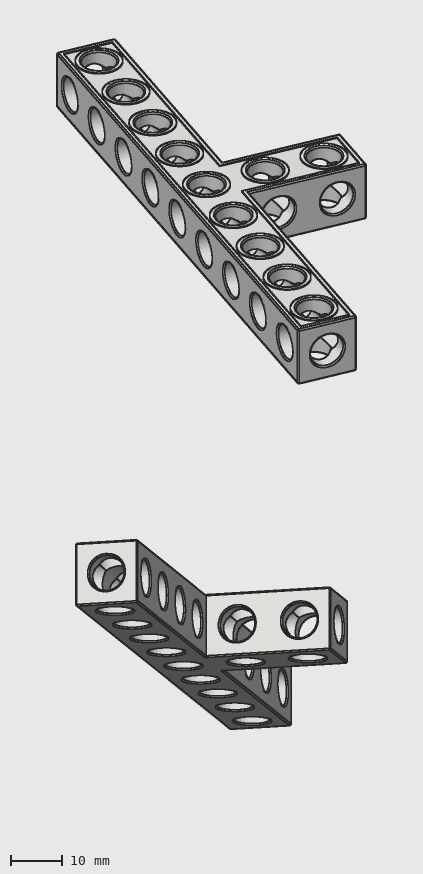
import cadquery as cq

LENGTH = 112.5
BAR_CELLS = 9
STEM_CELLS = 2
CELL = LENGTH / BAR_CELLS
HALF_CELL = CELL / 2
STEM_REACH = STEM_CELLS * CELL
STEM_END = HALF_CELL + STEM_REACH

HOLE_DIAMETER = 7.0
BEVEL = 0.3

BORDER_WIDTH = 1.1
RING_DIAMETER = 9.2
RECESS_DEPTH = 0.2

BAR_X = [(i - (BAR_CELLS - 1) / 2) * CELL for i in range(BAR_CELLS)]
STEM_Y = [(i + 1) * CELL for i in range(STEM_CELLS)]
VERTICAL_HOLES = [(x, 0) for x in BAR_X] + [(0, y) for y in STEM_Y]


def beveled_body():
    """Bar and stem with beveled outer edges; the stem starts inside the bar."""
    bar = cq.Workplane("XY").box(LENGTH, CELL, CELL).edges().chamfer(BEVEL)
    stem = (
        cq.Workplane("XY")
        .box(CELL, STEM_END, CELL, centered=(True, False, True))
        .edges("|Y or >Y")
        .chamfer(BEVEL)
    )
    return bar.union(stem)


def top_recess():
    """T-shaped cutter inside the border, with the rings around the holes left out."""
    floor = cq.Workplane("XY", origin=(0, 0, HALF_CELL - RECESS_DEPTH))
    width = CELL - 2 * BORDER_WIDTH
    stem_length = STEM_END - BORDER_WIDTH
    bar = floor.rect(LENGTH - 2 * BORDER_WIDTH, width).extrude(RECESS_DEPTH)
    stem = floor.center(0, stem_length / 2).rect(width, stem_length).extrude(RECESS_DEPTH)
    rings = floor.pushPoints(VERTICAL_HOLES).circle(RING_DIAMETER / 2).extrude(RECESS_DEPTH)
    return bar.union(stem).cut(rings)


def hole_cutter(start, direction, length):
    """Through-hole along direction, with a conical mouth at both ends."""
    radius = HOLE_DIAMETER / 2
    mouth_radius = radius + BEVEL
    half_section = [
        (0, 0),
        (mouth_radius, 0),
        (radius, BEVEL),
        (radius, length - BEVEL),
        (mouth_radius, length),
        (0, length),
    ]
    upright = cq.Workplane("XZ").polyline(half_section).close().revolve(360, (0, 0), (0, 1))
    placement = cq.Plane(start, normal=direction).location
    return cq.Workplane(upright.val().moved(placement))


def hole_cutters():
    cutters = [hole_cutter((-LENGTH / 2, 0, 0), (1, 0, 0), LENGTH)]
    for x, y in VERTICAL_HOLES:
        cutters.append(hole_cutter((x, y, -HALF_CELL), (0, 0, 1), CELL))
    for x in BAR_X:
        length = CELL + STEM_REACH if x == 0 else CELL
        cutters.append(hole_cutter((x, -HALF_CELL, 0), (0, 1, 0), length))
    for y in STEM_Y:
        cutters.append(hole_cutter((-HALF_CELL, y, 0), (1, 0, 0), CELL))
    return cutters


result = beveled_body().cut(top_recess())
for cutter in hole_cutters():
    result = result.cut(cutter)